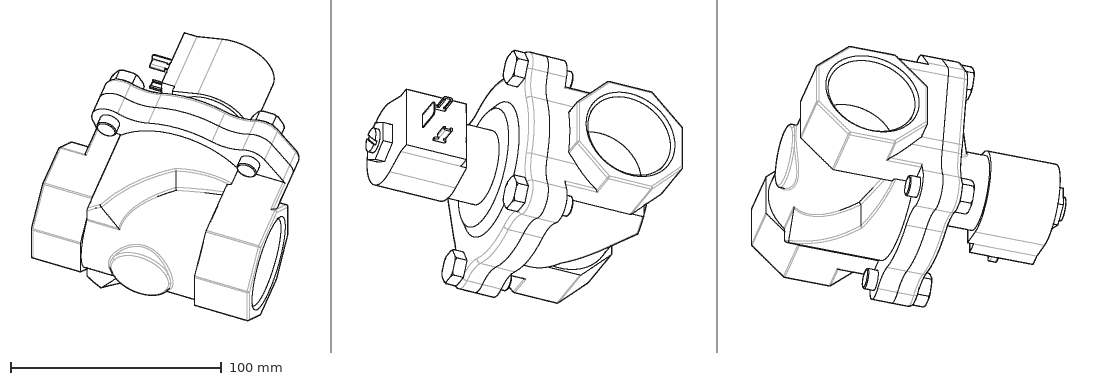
import cadquery as cq
import math


port_flats = 55.0
port_half = port_flats / 2
port_left_x = -55.0
port_right_x = 55.0
port_left_inner_x = -30.0
port_right_inner_x = 27.5
port_round = 1.0
bore_radius = 21.5
bore_chamfer = 1.6
bore_depth = 35.0
pipe_radius = 26.4

boss_radius = 15.3
boss_round = 1.0

chamber_radius = 40.3
chamber_bottom_y = -18.4
slant_knee = (5.0, 9.0)
slant_right_end = (27.5, 17.7)
slant_foot_x = -13.9
slant_foot_z = 19.2
slant_foot_run = -9.1 / 13.3
cut_inner_z = 18.0
cut_outer_z = 45.0
cut_reach_x = 50.0
chamber_round = 0.9

edge_tolerance = 0.05

flange_bottom_y = 28.2
joint_y = 38.0
cover_top_y = 48.0
cover_round = 2.0

rim_radius = 46.0
bolt_circle_radius = 50.0
lobe_radius = 9.2
waist_radius = 20.0
pilot_x = 45.5
pilot_z = 23.9
pilot_radius = 8.0

dome_bottom_radius = 33.0
dome_top_radius = 29.0
dome_top_y = 51.7
neck_radius = 18.1
neck_top_y = 68.8
tube_radius = 3.0
tube_slope = math.radians(22.2)
tube_start_radius = 10.0
tube_start_y = 58.2
tube_end_radius = 44.0
tube_round = 0.8

bolt_radius = 4.9
bolt_tip_y = 23.0
bolt_tip_chamfer = 0.5
bolt_head_corner_radius = 8.35
bolt_head_height = 5.9
bolt_head_chamfer = 0.7

coil_radius = 20.4
coil_top_y = 103.1
coil_tangent_x = -5.8
coil_step_x = -18.6
coil_face_x = -25.05
coil_face_bottom_y = 71.8

blade_y = 94.4
blade_width = 7.3
blade_thickness = 0.5
blade_tip_x = -38.0
blade_tip_chamfer = 1.0
pin_y = 86.1
pin_web_z = 9.0
pin_web_thickness = 1.0
pin_base_width = 6.1
pin_base_x = -26.5
pin_neck_width = 2.7
pin_neck_x = -28.1
pin_channel_width = 4.5
pin_channel_height = 1.9
pin_channel_round = 0.9
pin_tip_x = -35.5

nut_flats = 18.0
nut_top_y = 108.0
stem_radius = 5.8
stem_top_y = 110.26
stem_slot_width = 2.0
stem_slot_depth = 1.0
stem_slot_angle = 45.0

bolt_offset = bolt_circle_radius * math.sqrt(0.5)
bolt_centres = [(sx * bolt_offset, sz * bolt_offset) for sx in (-1, 1) for sz in (-1, 1)]


def plane_at(y):
    """XZ workplane at height y; extruding from it runs towards -Y."""
    return cq.Workplane("XZ", origin=(0, y, 0))


def cylinder_y(radius, bottom_y, top_y):
    return plane_at(top_y).circle(radius).extrude(top_y - bottom_y)


def box_between(x0, x1, y0, y1, z0, z1):
    return cq.Workplane("XY").box(x1 - x0, y1 - y0, z1 - z0, centered=False).translate((x0, y0, z0))


def polar(radius, angle, centre=(0, 0)):
    return (centre[0] + radius * math.cos(angle), centre[1] + radius * math.sin(angle))


def direction(start, end):
    return math.atan2(end[1] - start[1], end[0] - start[0])


def stays_at(edge, size, distance_of):
    """True if the distance measured at points along the edge keeps to this size."""
    samples = [edge.positionAt(step) for step in (0.1, 0.5, 0.9)]
    return all(abs(distance_of(point) - size) < edge_tolerance for point in samples)


def distance_from_y_axis(point):
    return math.hypot(point.x, point.z)


def distance_from_x_axis(point):
    return math.hypot(point.y, point.z)


waist_centre_radius = rim_radius + waist_radius
lobe_to_waist = lobe_radius + waist_radius
waist_offset_angle = math.acos(
    (waist_centre_radius**2 + bolt_circle_radius**2 - lobe_to_waist**2)
    / (2 * waist_centre_radius * bolt_circle_radius)
)


def waist_arc(lobe_angle, side):
    """Lobe end, middle and rim end of the waist on one side (+1 or -1) of a lobe."""
    lobe_centre = polar(bolt_circle_radius, lobe_angle)
    rim_angle = lobe_angle + side * waist_offset_angle
    waist_centre = polar(waist_centre_radius, rim_angle)
    lobe_end = polar(lobe_radius, direction(lobe_centre, waist_centre), lobe_centre)
    rim_end = polar(rim_radius, rim_angle)
    chord_middle = ((lobe_end[0] + rim_end[0]) / 2, (lobe_end[1] + rim_end[1]) / 2)
    middle = polar(waist_radius, direction(waist_centre, chord_middle), waist_centre)
    return lobe_end, middle, rim_end


def flange_plate(bottom_y, top_y):
    """Four-lobed plate with a pilot corner between the +X side and the +X+Z lobe."""
    quarter = math.pi / 2
    first_lobe = quarter / 2
    pilot_centre = (pilot_x, pilot_z)
    pilot_distance = math.hypot(pilot_x, pilot_z)
    pilot_angle = math.atan2(pilot_z, pilot_x)

    rim_normal = pilot_angle - math.acos((rim_radius - pilot_radius) / pilot_distance)
    lobe_centre = polar(bolt_circle_radius, first_lobe)
    centre_gap = math.hypot(lobe_centre[0] - pilot_x, lobe_centre[1] - pilot_z)
    lobe_turn = math.acos((pilot_radius - lobe_radius) / centre_gap)
    lobe_normal = direction(pilot_centre, lobe_centre) - lobe_turn
    outline = plane_at(top_y).moveTo(*polar(rim_radius, rim_normal))
    outline = outline.lineTo(*polar(pilot_radius, rim_normal, pilot_centre))
    outline = outline.threePointArc(
        polar(pilot_radius, (rim_normal + lobe_normal) / 2, pilot_centre),
        polar(pilot_radius, lobe_normal, pilot_centre),
    )
    outline = outline.lineTo(*polar(lobe_radius, lobe_normal, lobe_centre))

    for index in range(4):
        lobe_angle = first_lobe + index * quarter
        if index > 0:
            lobe_end, middle, _ = waist_arc(lobe_angle, -1)
            outline = outline.threePointArc(middle, lobe_end)
        lobe_end, middle, rim_end = waist_arc(lobe_angle, 1)
        lobe_tip = polar(bolt_circle_radius + lobe_radius, lobe_angle)
        outline = outline.threePointArc(lobe_tip, lobe_end).threePointArc(middle, rim_end)
        if index < 3:
            rim_middle = polar(rim_radius, lobe_angle + quarter / 2)
            next_rim = polar(rim_radius, lobe_angle + quarter - waist_offset_angle)
            outline = outline.threePointArc(rim_middle, next_rim)

    last_rim_angle = first_lobe - quarter + waist_offset_angle
    outline = outline.threePointArc(
        polar(rim_radius, (last_rim_angle + rim_normal) / 2), polar(rim_radius, rim_normal)
    )
    return outline.close().extrude(top_y - bottom_y)


def cut_bolt_holes(plate, bottom_y, top_y):
    holes = plane_at(top_y).pushPoints(bolt_centres).circle(bolt_radius).extrude(top_y - bottom_y)
    return plate.cut(holes)


def is_chamber_rim(edge):
    """Curved lower edges of the chamber wall on the two Z sides."""
    centre = edge.Center()
    low_side_edge = abs(centre.z) > cut_inner_z and centre.y < slant_right_end[1]
    is_curved = edge.geomType() != "LINE"
    return low_side_edge and is_curved and stays_at(edge, chamber_radius, distance_from_y_axis)


def is_pipe_corner(edge):
    """Edges where the underside of the chamber runs into the pipe."""
    low_x = port_left_inner_x + edge_tolerance
    high_x = port_right_inner_x - edge_tolerance
    between_ports = low_x < edge.Center().x < high_x
    return between_ports and stays_at(edge, pipe_radius, distance_from_x_axis)


def chamber():
    """Cylinder about Y with its lower right cleared beside the pipe, on both Z sides."""
    def cut_section(z):
        foot_x = slant_foot_x + slant_foot_run * (z - slant_foot_z)
        slope = (slant_right_end[1] - slant_knee[1]) / (slant_right_end[0] - slant_knee[0])
        reach_y = slant_knee[1] + slope * (cut_reach_x - slant_knee[0])
        low_y = 2 * chamber_bottom_y
        foot_run = (slant_knee[0] - foot_x) / (slant_knee[1] - chamber_bottom_y)
        low_x = slant_knee[0] - foot_run * (slant_knee[1] - low_y)
        points = [(low_x, low_y), slant_knee, (cut_reach_x, reach_y), (cut_reach_x, low_y)]
        return cq.Wire.makePolygon([cq.Vector(x, y, z) for x, y in points], close=True)

    sections = [cut_section(cut_inner_z), cut_section(cut_outer_z)]
    clearance = cq.Workplane(cq.Solid.makeLoft(sections, True))
    solid = cylinder_y(chamber_radius, chamber_bottom_y, flange_bottom_y)
    solid = solid.cut(clearance).cut(clearance.mirror("XY"))
    solid = solid.intersect(
        box_between(
            port_left_inner_x,
            chamber_radius,
            chamber_bottom_y,
            flange_bottom_y,
            -chamber_radius,
            chamber_radius,
        )
    )
    return solid.edges().filter(is_chamber_rim).fillet(chamber_round)


def is_boss_foot(edge):
    """Edge where the front boss meets the pipe."""
    on_boss = stays_at(edge, boss_radius, distance_from_y_axis)
    return on_boss and stays_at(edge, pipe_radius, distance_from_x_axis)


def port_end(inner_x, outer_x):
    """Octagonal pipe end, filled up to the flange inside the flange outline."""
    corner_diameter = port_flats / math.cos(math.pi / 8)
    outer_side = ">X" if outer_x > inner_x else "<X"
    octagon = (
        cq.Workplane("YZ", origin=(inner_x, 0, 0))
        .transformed(rotate=(0, 0, 22.5))
        .polygon(8, corner_diameter)
        .extrude(outer_x - inner_x)
        .edges("|X")
        .fillet(port_round)
        .faces(outer_side)
        .edges()
        .fillet(port_round)
    )
    low_x, high_x = sorted((inner_x, outer_x))
    fill_space = box_between(low_x, high_x, 0, joint_y, -port_half, port_half)
    fill = flange_plate(0, flange_bottom_y).intersect(fill_space)
    corners = fill.edges("|Y").edges(">Z or <Z")
    corners = corners.filter(lambda edge: abs(edge.Center().x) > abs(inner_x) + port_round)
    fill = corners.fillet(port_round)
    return octagon.union(fill)


def port_bore(outer_x, inward):
    start = cq.Vector(outer_x, 0, 0)
    axis = cq.Vector(inward, 0, 0)
    bore = cq.Solid.makeCylinder(bore_radius, bore_depth, start, axis)
    mouth = cq.Solid.makeCone(bore_radius + bore_chamfer, bore_radius, bore_chamfer, start, axis)
    return cq.Workplane(bore).union(cq.Workplane(mouth))


def add_front_boss(body):
    boss = cylinder_y(boss_radius, -port_half, 0)
    body = body.union(boss)
    body = body.edges().filter(is_boss_foot).fillet(boss_round)
    return body.faces("<Y").edges().fillet(boss_round)


def make_body():
    pipe = (
        cq.Workplane("YZ", origin=(port_left_inner_x, 0, 0))
        .circle(pipe_radius)
        .extrude(port_right_inner_x - port_left_inner_x)
    )
    body = pipe.union(chamber())
    body = body.edges().filter(is_pipe_corner).fillet(chamber_round)
    body = add_front_boss(body)
    body = body.union(port_end(port_left_inner_x, port_left_x))
    body = body.union(port_end(port_right_inner_x, port_right_x))
    body = body.union(flange_plate(flange_bottom_y, joint_y))
    body = body.cut(port_bore(port_left_x, 1)).cut(port_bore(port_right_x, -1))
    return cut_bolt_holes(body, flange_bottom_y, joint_y)


def is_tube_root(edge):
    """Edge where the pilot tube leaves the neck, clear above the dome."""
    above_dome = dome_top_y + tube_round < edge.Center().y < tube_start_y
    is_curved = edge.geomType() != "LINE"
    return above_dome and is_curved and stays_at(edge, neck_radius, distance_from_y_axis)


def make_cover():
    plate = flange_plate(joint_y, cover_top_y).faces(">Y").edges().fillet(cover_round)
    dome = cq.Workplane(
        cq.Solid.makeCone(
            dome_bottom_radius,
            dome_top_radius,
            dome_top_y - cover_top_y,
            cq.Vector(0, cover_top_y, 0),
            cq.Vector(0, 1, 0),
        )
    )
    neck = cylinder_y(neck_radius, joint_y, neck_top_y)
    pilot_angle = math.atan2(pilot_z, pilot_x)
    start_x, start_z = polar(tube_start_radius, pilot_angle)
    run_x, run_z = polar(math.cos(tube_slope), pilot_angle)
    tube_length = (tube_end_radius - tube_start_radius) / math.cos(tube_slope)
    tube = cq.Workplane(
        cq.Solid.makeCylinder(
            tube_radius,
            tube_length,
            cq.Vector(start_x, tube_start_y, start_z),
            cq.Vector(run_x, -math.sin(tube_slope), run_z),
        )
    )
    cover = plate.union(dome).union(neck).union(tube)
    cover = cover.edges().filter(is_tube_root).fillet(tube_round)
    return cut_bolt_holes(cover, joint_y, cover_top_y)


def make_bolt(x, z):
    shank = cylinder_y(bolt_radius, bolt_tip_y, cover_top_y).faces("<Y").chamfer(bolt_tip_chamfer)
    head_top_y = cover_top_y + bolt_head_height
    head = plane_at(head_top_y).polygon(6, 2 * bolt_head_corner_radius).extrude(bolt_head_height)
    crown = cylinder_y(bolt_head_corner_radius, cover_top_y, head_top_y)
    crown = crown.faces(">Y").chamfer(bolt_head_chamfer)
    return shank.union(head.intersect(crown)).translate((x, 0, z))


def contact_pin(side):
    """Sheet terminal: flared foot, narrow neck, then a channel with its lips towards z = 0."""
    web_top_z = pin_web_z + pin_web_thickness / 2
    web_bottom_z = pin_web_z - pin_web_thickness / 2
    half_base = pin_base_width / 2
    half_neck = pin_neck_width / 2
    half_foot = [
        (coil_face_x, half_base),
        (pin_base_x, half_base),
        (pin_neck_x + pin_channel_round, half_neck),
        (pin_tip_x, half_neck),
    ]
    outline = half_foot + [(x, -y) for x, y in reversed(half_foot)]
    foot_plane = cq.Workplane("XY", origin=(0, pin_y, web_bottom_z))
    foot = foot_plane.polyline(outline).close().extrude(pin_web_thickness)
    half_channel = pin_channel_width / 2
    lip_z = web_top_z - pin_channel_height
    channel = box_between(
        pin_tip_x, pin_neck_x, pin_y - half_channel, pin_y + half_channel, lip_z, web_top_z
    )
    channel = channel.edges("|X and >Z").fillet(pin_channel_round)
    groove = box_between(pin_tip_x, pin_neck_x, pin_y - half_neck, pin_y + half_neck, lip_z, web_bottom_z)
    pin = foot.union(channel.cut(groove))
    return pin if side > 0 else pin.mirror("XY")


def ground_blade():
    half_thickness = blade_thickness / 2
    half_width = blade_width / 2
    blade = box_between(
        blade_tip_x,
        coil_face_x,
        blade_y - half_thickness,
        blade_y + half_thickness,
        -half_width,
        half_width,
    )
    return blade.edges("|Y and <X").chamfer(blade_tip_chamfer)


def make_coil():
    tangent_z = math.sqrt(coil_radius**2 - coil_tangent_x**2)
    face_z = tangent_z + (coil_step_x - coil_tangent_x) * -coil_tangent_x / tangent_z
    coil = (
        plane_at(coil_top_y)
        .moveTo(coil_step_x, -face_z)
        .lineTo(coil_tangent_x, -tangent_z)
        .threePointArc((coil_radius, 0), (coil_tangent_x, tangent_z))
        .lineTo(coil_step_x, face_z)
        .close()
        .extrude(coil_top_y - neck_top_y)
    )
    connector = box_between(coil_face_x, coil_step_x, coil_face_bottom_y, coil_top_y, -face_z, face_z)
    coil = coil.union(connector).union(ground_blade())
    for side in (-1, 1):
        coil = coil.union(contact_pin(side))
    return coil.cut(cylinder_y(stem_radius, neck_top_y, coil_top_y))


def make_nut():
    nut_height = nut_top_y - coil_top_y
    corner_diameter = nut_flats / math.cos(math.pi / 6)
    nut = (
        plane_at(nut_top_y)
        .transformed(rotate=(0, 0, 30))
        .polygon(6, corner_diameter)
        .extrude(nut_height)
    )
    return nut.cut(cylinder_y(stem_radius, coil_top_y, nut_top_y))


def make_stem():
    stem = cylinder_y(stem_radius, neck_top_y, stem_top_y)
    slot = (
        plane_at(stem_top_y)
        .transformed(rotate=(0, 0, stem_slot_angle))
        .rect(2 * stem_radius, stem_slot_width)
        .extrude(stem_slot_depth)
    )
    return stem.cut(slot)


body = make_body()
cover = make_cover()
bolts = [make_bolt(x, z) for x, z in bolt_centres]
coil = make_coil()
nut = make_nut()
stem = make_stem()

result = cq.Compound.makeCompound(
    [body.val(), cover.val(), *[bolt.val() for bolt in bolts], coil.val(), nut.val(), stem.val()]
)